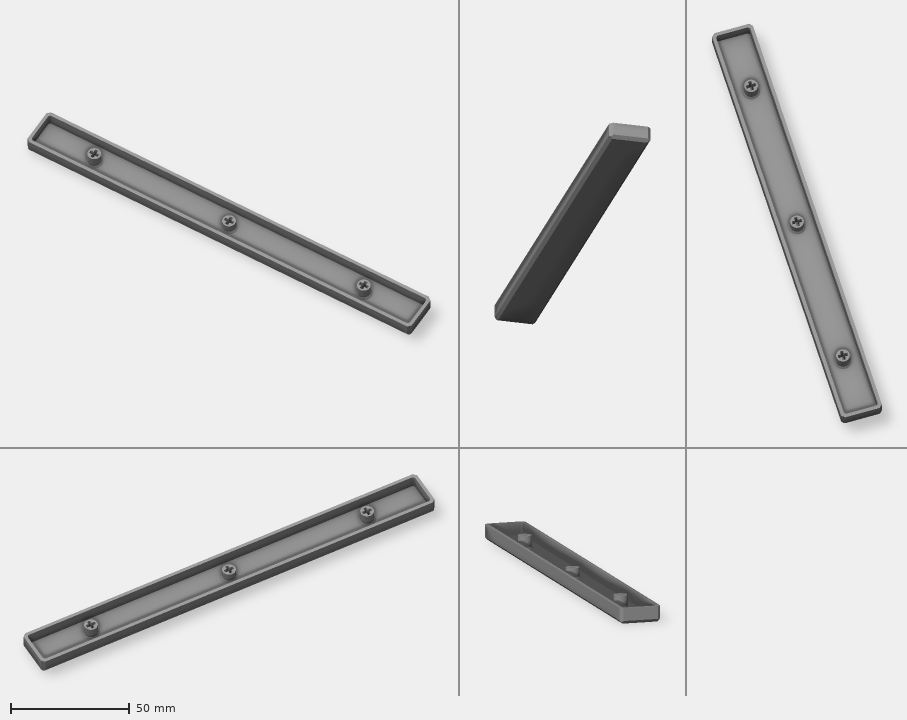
import cadquery as cq

LENGTH = 189.5
WIDTH = 18.05
HEIGHT = 6.9
WALL = 1.5
FLOOR = 1.35
EDGE_CHAMFER = 1.4
INNER_CORNER_CHAMFER = 0.8

STEM_DIAMETER = 5.8
STEM_PITCH = 66.5
OUTER_STEM_TOP = HEIGHT
MIDDLE_STEM_DROP = 1.0
MIDDLE_STEM_TOP = HEIGHT - MIDDLE_STEM_DROP
STEMS = (
    (-STEM_PITCH, OUTER_STEM_TOP),
    (0, MIDDLE_STEM_TOP),
    (STEM_PITCH, OUTER_STEM_TOP),
)

FOOT_SIZE = 0.8

CROSS_LENGTH = 4.25
CROSS_SLOT = 1.4


def make_tray():
    """Box with chamfered bottom and vertical edges, hollowed from the top."""
    block = (
        cq.Workplane("XY")
        .rect(LENGTH, WIDTH)
        .extrude(HEIGHT)
        .faces("<Z")
        .chamfer(EDGE_CHAMFER)
        .edges("|Z")
        .chamfer(EDGE_CHAMFER)
    )
    cavity = (
        cq.Workplane("XY", origin=(0, 0, FLOOR))
        .rect(LENGTH - 2 * WALL, WIDTH - 2 * WALL)
        .extrude(HEIGHT - FLOOR)
        .edges("|Z")
        .chamfer(INNER_CORNER_CHAMFER)
    )
    return block.cut(cavity)


def make_stem(x, top):
    """Round post on a conical foot, both standing on the floor."""
    stem_radius = STEM_DIAMETER / 2
    foot_radius = stem_radius + FOOT_SIZE
    profile = (
        cq.Workplane("XZ")
        .moveTo(0, FLOOR)
        .lineTo(foot_radius, FLOOR)
        .lineTo(stem_radius, FLOOR + FOOT_SIZE)
        .lineTo(stem_radius, top)
        .lineTo(0, top)
        .close()
    )
    return profile.revolve(360, (0, 0, 0), (0, 1, 0)).translate((x, 0, 0))


def make_socket(x, top):
    """Two crossing slots filling the stem height from the floor to the top."""
    base = cq.Workplane("XY", origin=(x, 0, FLOOR))
    slot_along_x = base.rect(CROSS_LENGTH, CROSS_SLOT).extrude(top - FLOOR)
    slot_along_y = base.rect(CROSS_SLOT, CROSS_LENGTH).extrude(top - FLOOR)
    return slot_along_x.union(slot_along_y)


result = make_tray()
for stem_x, stem_top in STEMS:
    stem = make_stem(stem_x, stem_top).cut(make_socket(stem_x, stem_top))
    result = result.union(stem)